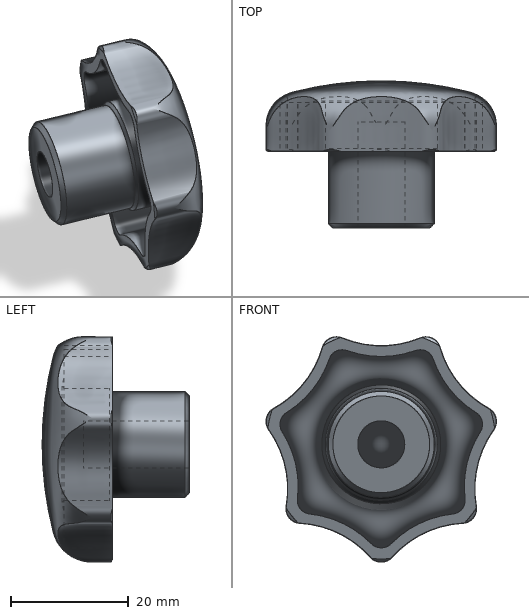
import cadquery as cq
import math


lobe_count = 7
head_height = 11.97
tip_reach = 20.0
valley_radius = 16.75
flute_radius = 17.2
dome_rise = 1.88
dome_edge_radius = 14.85
rim_chamfer_width = 0.55
rim_chamfer_height = 0.3

cavity_depth = 8.3
valley_wall = 1.85
tip_wall = 2.43
recess_outer_radius = 11.2
recess_inner_radius = 10.1
recess_depth = 0.27

hub_length = 13.03
hub_radius = 18.0 / 2
root_radius = 19.0 / 2
hub_end_chamfer = 0.8
bore_radius = 8.0 / 2
bore_depth = 18.0

lobe_pitch = 2 * math.pi / lobe_count
first_tip_angle = -math.pi / 2


def polar(radius, angle):
    return (radius * math.cos(angle), radius * math.sin(angle))


def toward(start, end, distance):
    """Point at a given distance from start, on the way to end."""
    ratio = distance / math.dist(start, end)
    return tuple(s + ratio * (e - s) for s, e in zip(start, end))


def lobed_prism(valley, reach, flute, depth):
    """Prism from the rim toward +Y whose tip arcs are tangent to its flute arcs."""
    flute_distance = valley + flute
    span = flute + reach
    tip_distance = (span**2 - flute_distance**2) / (
        2 * (span - flute_distance * math.cos(lobe_pitch / 2))
    )
    tip_radius = reach - tip_distance

    def tangent_point(tip_angle, side):
        tip = polar(tip_distance, tip_angle)
        hollow = polar(flute_distance, tip_angle + side * lobe_pitch / 2)
        return toward(tip, hollow, tip_radius)

    outline = cq.Workplane("XZ").moveTo(*tangent_point(first_tip_angle, -1))
    for lobe in range(lobe_count):
        angle = first_tip_angle + lobe * lobe_pitch
        next_angle = angle + lobe_pitch
        outline = outline.threePointArc(polar(reach, angle), tangent_point(angle, 1))
        outline = outline.threePointArc(
            polar(valley, angle + lobe_pitch / 2), tangent_point(next_angle, -1)
        )
    return outline.close().extrude(-depth)


def revolve_about_y(profile):
    return profile.close().revolve(360, (0, 0, 0), (0, 1, 0))


def domed_blank():
    """Round blank with a shallow dome and a corner arc tangent to dome and side."""
    dome_radius = (dome_edge_radius**2 + dome_rise**2) / (2 * dome_rise)
    edge_slope = math.asin(dome_edge_radius / dome_radius)
    corner_radius = (tip_reach - dome_edge_radius) / (1 - math.sin(edge_slope))
    corner_x = tip_reach - corner_radius
    dome_edge_y = head_height - dome_rise
    corner_y = dome_edge_y - corner_radius * math.cos(edge_slope)
    corner_mid = polar(corner_radius, (math.pi / 2 - edge_slope) / 2)
    dome_mid_x = dome_radius * math.sin(edge_slope / 2)
    dome_mid_y = head_height - dome_radius * (1 - math.cos(edge_slope / 2))
    return revolve_about_y(
        cq.Workplane("XY")
        .lineTo(tip_reach - rim_chamfer_width, 0)
        .lineTo(tip_reach, rim_chamfer_height)
        .lineTo(tip_reach, corner_y)
        .threePointArc(
            (corner_x + corner_mid[0], corner_y + corner_mid[1]),
            (dome_edge_radius, dome_edge_y),
        )
        .threePointArc((dome_mid_x, dome_mid_y), (0, head_height))
    )


def hub():
    """Stepped hub reaching from its chamfered end to the bottom of the recess."""
    step_height = root_radius - hub_radius
    return revolve_about_y(
        cq.Workplane("XY")
        .moveTo(0, -hub_length)
        .lineTo(hub_radius - hub_end_chamfer, -hub_length)
        .lineTo(hub_radius, hub_end_chamfer - hub_length)
        .lineTo(hub_radius, 0)
        .lineTo(root_radius, step_height)
        .lineTo(root_radius, cavity_depth)
        .lineTo(recess_inner_radius, cavity_depth + recess_depth)
        .lineTo(0, cavity_depth + recess_depth)
    )


def recess():
    """Conical deepening of the cavity floor around the hub root."""
    return revolve_about_y(
        cq.Workplane("XY")
        .moveTo(0, cavity_depth)
        .lineTo(recess_outer_radius, cavity_depth)
        .lineTo(recess_inner_radius, cavity_depth + recess_depth)
        .lineTo(0, cavity_depth + recess_depth)
    )


head = domed_blank().intersect(
    lobed_prism(valley_radius, tip_reach, flute_radius, head_height)
)
cavity = lobed_prism(
    valley_radius - valley_wall,
    tip_reach - tip_wall,
    flute_radius,
    cavity_depth,
)
bore = (
    cq.Workplane("XZ", origin=(0, -hub_length, 0)).circle(bore_radius).extrude(-bore_depth)
)

result = head.cut(cavity).cut(recess()).union(hub()).cut(bore)